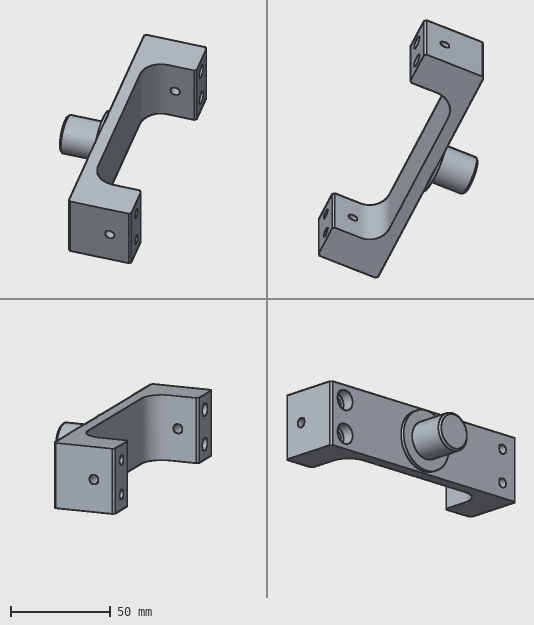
import cadquery as cq

length = 130.0
height = 34.0
body_depth = 33.0
web_thickness = 6.6
arm_width = 18.3
inner_radius = 11.0
corner_chamfer = 1.0

shoulder_diameter = 32.0
shoulder_thickness = 2.0
pin_diameter = 20.0
pin_length = 20.0
pin_chamfer = 1.0

mount_hole_y = 55.4
mount_hole_spacing = 18.0
clearance_diameter = 6.6
counterbore_diameter = 10.7
counterbore_depth = 6.5
plain_diameter = 5.0
cross_hole_diameter = 5.0
cross_hole_x = 21.8


def make_body():
    """C-shaped bar with its back on X = 0, centred on Y and Z."""
    blank = cq.Workplane("XY").box(body_depth, length, height, centered=(False, True, True))
    recess = (
        cq.Workplane("XY")
        .box(body_depth, length - 2 * arm_width, height, centered=(False, True, True))
        .translate((web_thickness, 0, 0))
        .edges("|Z and <X")
        .fillet(inner_radius)
    )
    return blank.cut(recess).faces("<X or >X").edges("|Z").chamfer(corner_chamfer)


def x_cylinder(diameter, x_start, x_length, y=0, z=0):
    return (
        cq.Workplane("YZ", origin=(x_start, y, z))
        .circle(diameter / 2)
        .extrude(x_length)
    )


def make_pin():
    """Shoulder disc and chamfered pin, both pointing towards -X."""
    shoulder = x_cylinder(shoulder_diameter, 0, -shoulder_thickness)
    pin = x_cylinder(pin_diameter, 0, -(shoulder_thickness + pin_length))
    return shoulder.union(pin.faces("<X").chamfer(pin_chamfer))


def cut_mount_holes(body):
    """Counterbored pair through the +Y arm, plain pair through the -Y arm."""
    for z in (-mount_hole_spacing / 2, mount_hole_spacing / 2):
        body = body.cut(x_cylinder(clearance_diameter, 0, body_depth, mount_hole_y, z))
        body = body.cut(x_cylinder(counterbore_diameter, 0, counterbore_depth, mount_hole_y, z))
        body = body.cut(x_cylinder(plain_diameter, 0, body_depth, -mount_hole_y, z))
    return body


def cut_cross_hole(body):
    """One hole along Y through both arms."""
    hole = (
        cq.Workplane("XZ", origin=(cross_hole_x, length / 2, 0))
        .circle(cross_hole_diameter / 2)
        .extrude(length)
    )
    return body.cut(hole)


body = cut_cross_hole(cut_mount_holes(make_body()))
result = body.union(make_pin())